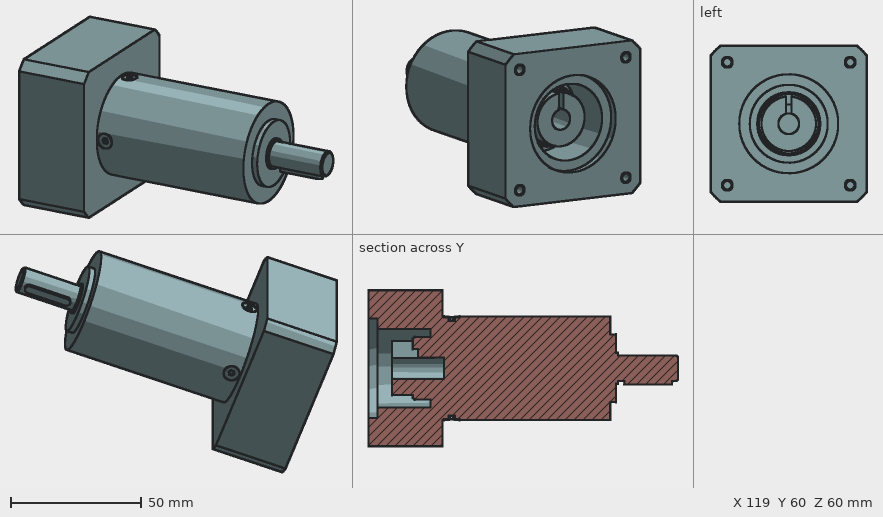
import cadquery as cq
import math


overall_length = 119.0

flange_side = 60.0
flange_length = 28.6
flange_corner_diameter = 79.7
mount_hole_spacing = 47.2
mount_hole_diameter = 3.3
mount_hole_depth = 10.0
mount_counterbore_diameter = 4.2
mount_counterbore_depth = 0.1

pilot_recess_diameter = 38.1
pilot_recess_depth = 3.5
cavity_diameter = 30.0
cavity_depth = 23.8

hub_diameter = 24.3
hub_chamfer = 0.7
hub_bore_diameter = 8.0
hub_bore_depth = 20.0
ring_diameter = 21.0
ring_face_x = 9.0
ring_length = 8.0
slot_width = 2.0
sleeve_radius = 7.4
sleeve_slot_depth = 10.0

screw_head_diameter = 4.0
screw_head_length = 3.6
screw_head_chamfer = 0.6
screw_head_end_y = 7.0
screw_head_top_z = 9.2

housing_diameter = 40.0
housing_end_x = 92.9
output_pilot_diameter = 26.2
output_pilot_end_x = 95.2
collar_diameter = 12.0
collar_end_x = 95.9
shaft_diameter = 10.0
shaft_chamfer = 0.6

key_width = 3.0
key_length = 18.5
key_start_x = 98.3
key_outer_radius = 6.3
key_depth_in_shaft = 1.8

plug_count = 4
plug_x = 32.0
plug_diameter = 6.1
plug_face_depth = 0.5
socket_across_flats = 2.0
socket_depth = 1.2


def disc(diameter, start_x, end_x):
    """Round bar about the X axis between two X positions."""
    return cq.Workplane("YZ", origin=(start_x, 0, 0)).circle(diameter / 2).extrude(end_x - start_x)


def make_flange():
    square = cq.Workplane("YZ").rect(flange_side, flange_side).extrude(flange_length)
    return square.intersect(disc(flange_corner_diameter, 0, flange_length))


def make_output_shaft():
    return disc(shaft_diameter, collar_end_x, overall_length).faces(">X").chamfer(shaft_chamfer)


def make_key():
    key_height = key_outer_radius - shaft_diameter / 2 + key_depth_in_shaft
    return (
        cq.Workplane("XY", origin=(key_start_x + key_length / 2, 0, -key_outer_radius))
        .slot2D(key_length, key_width)
        .extrude(key_height)
    )


def make_motor_cavity():
    """Stepped round space open at the mounting face."""
    return disc(pilot_recess_diameter, 0, pilot_recess_depth).union(disc(cavity_diameter, 0, cavity_depth))


def make_coupling():
    """Hub standing on the cavity floor, with clamp ring and screw head, before boring and slotting."""
    shoulder_x = ring_face_x + ring_length
    hub = disc(hub_diameter, shoulder_x, cavity_depth).faces("<X").chamfer(hub_chamfer)
    return hub.union(disc(ring_diameter, ring_face_x, shoulder_x)).union(make_screw_head())


def make_screw_head():
    center_x = ring_face_x + ring_length / 2
    center_z = screw_head_top_z - screw_head_diameter / 2
    return (
        cq.Workplane("XZ", origin=(center_x, screw_head_end_y, center_z))
        .circle(screw_head_diameter / 2)
        .extrude(screw_head_length)
        .faces(">Y")
        .chamfer(screw_head_chamfer)
    )


def make_hub_slot():
    """Clamping slot above the bore: through the clamp ring, and a little deeper in the sleeve inside it."""
    ring_slot = make_slot_block(ring_diameter / 2, ring_length)
    return ring_slot.union(make_slot_block(sleeve_radius, sleeve_slot_depth))


def make_slot_block(top_z, depth):
    return (
        cq.Workplane("XY", origin=(ring_face_x, 0, 0))
        .box(depth, slot_width, top_z, centered=(False, True, False))
    )


def make_mount_holes():
    """Four blind holes, each with a shallow counterbore at the mounting face."""
    hole = disc(mount_hole_diameter, 0, mount_hole_depth).union(
        disc(mount_counterbore_diameter, 0, mount_counterbore_depth)
    )
    offset = mount_hole_spacing / 2
    holes = cq.Workplane()
    for y in (-offset, offset):
        for z in (-offset, offset):
            holes = holes.add(hole.translate((0, y, z)))
    return holes.combine()


def make_plug_recess():
    """Flat-bottomed round recess on the +Z side of the housing with a hexagon socket in its floor."""
    face_z = housing_diameter / 2 - plug_face_depth
    socket_corner_diameter = socket_across_flats / math.cos(math.pi / 6)
    seat = (
        cq.Workplane("XY", origin=(plug_x, 0, face_z))
        .circle(plug_diameter / 2)
        .extrude(plug_face_depth)
    )
    socket = (
        cq.Workplane("XY", origin=(plug_x, 0, face_z - socket_depth))
        .polygon(6, socket_corner_diameter)
        .extrude(socket_depth)
    )
    return seat.union(socket)


body = (
    make_flange()
    .union(disc(housing_diameter, flange_length, housing_end_x))
    .union(disc(output_pilot_diameter, housing_end_x, output_pilot_end_x))
    .union(disc(collar_diameter, output_pilot_end_x, collar_end_x))
    .union(make_output_shaft())
    .union(make_key())
)
body = body.cut(make_motor_cavity()).union(make_coupling())
body = body.cut(disc(hub_bore_diameter, ring_face_x, ring_face_x + hub_bore_depth))
body = body.cut(make_hub_slot())
body = body.cut(make_mount_holes())
for index in range(plug_count):
    body = body.cut(make_plug_recess().rotate((0, 0, 0), (1, 0, 0), index * 360 / plug_count))

result = body